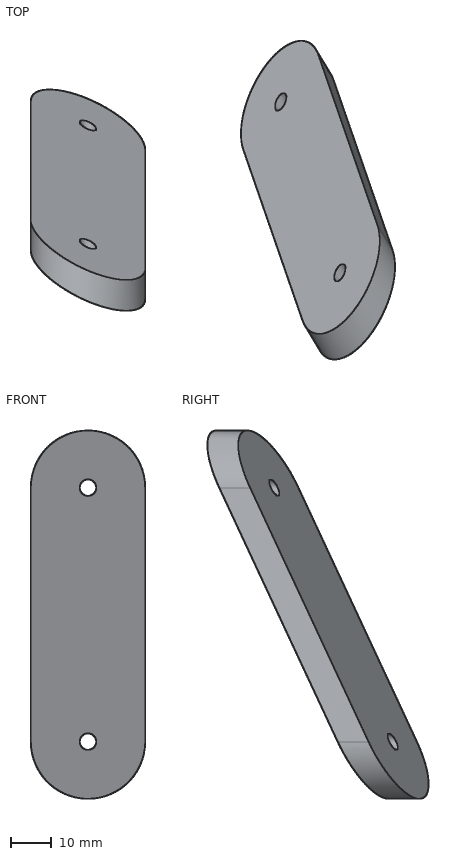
import cadquery as cq
import math

width = 28.0
height = 90.0
depth = 54.1
thickness = 7.6
hole_diameter = 4.0
lean_angle = 25.0

end_radius = width / 2
hole_spacing = height - width
lean_slope = math.tan(math.radians(lean_angle))
end_reach = (depth - thickness - hole_spacing * lean_slope) / 2
cross_slope = math.sqrt((end_reach / end_radius) ** 2 - lean_slope ** 2)


def face_y(x, z):
    """Y of the middle plane between the sloping faces."""
    return -cross_slope * x - lean_slope * z


def sloping_slab():
    """Parallelepiped between the faces, bounded by the outer X and Z limits."""
    corners = [
        (x, face_y(x, z) - thickness / 2, z)
        for x, z in (
            (-width / 2, -height / 2),
            (width / 2, -height / 2),
            (width / 2, height / 2),
            (-width / 2, height / 2),
        )
    ]
    front_face = cq.Face.makeFromWires(cq.Wire.makePolygon(corners, close=True))
    slab = cq.Solid.extrudeLinear(front_face, cq.Vector(0, thickness, 0))
    return cq.Workplane("XY").add(slab)


def drilled_bar():
    """Round-ended bar along Y with a hole at the centre of each end."""
    bar_length = 2 * depth
    return (
        cq.Workplane("XZ")
        .slot2D(height, width, 90)
        .pushPoints([(0, -hole_spacing / 2), (0, hole_spacing / 2)])
        .circle(hole_diameter / 2)
        .extrude(bar_length / 2, both=True)
    )


result = drilled_bar().intersect(sloping_slab())